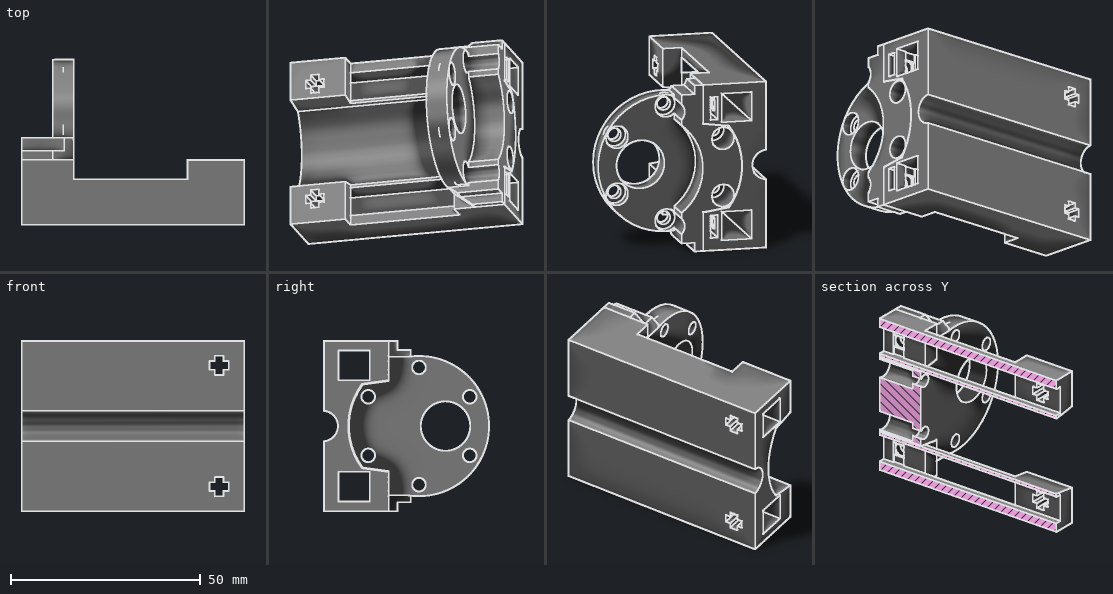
import cadquery as cq
import math

LENGTH = 58.8
HEIGHT = 45.0
BLOCK_DEPTH = 17.1
SADDLE_DEPTH = 12.05
NEAR_PILLAR = 13.8
FAR_PILLAR = 15.05
FIT_GAP = 0.1

GROOVE_RADIUS = 4.0
GROOVE_AXIS_Y = -0.3

CHANNEL_SIZE_Z = 7.75
CHANNEL_FRONT = 3.95
SIDE_Z = 16.0

CROSS_SPAN = 5.0
CROSS_ARM = 2.25
CROSS_INSET = 6.7

CLAMP_X = 4.95
CLAMP_DIAMETER = 3.5
CLAMP_STEP = 0.38

NUT_SLOT_FRONT = 13.1
NUT_SLOT_SIZE_Y = 2.0
NUT_SLOT_SIZE_Z = 6.2
NUT_SLOT_LENGTH = CLAMP_X + NUT_SLOT_SIZE_Z / 2

FLANGE_RADIUS = 18.5
OUTER_DEPTH = 43.65
FLANGE_Y = OUTER_DEPTH - FLANGE_RADIUS
FLANGE_FACE_X = 8.2

LUG_STEP_Y = 19.45
LUG_BACK_Y = 23.0
LUG_HALF_HEIGHT = 20.1
LUG_TOE_HALF = 18.2

TAPER_MOUTH_HALF = 11.95
TAPER_ROOT_Y = 10.35
TAPER_ROOT_HALF = 11.0

BOSS_DIAMETER = 13.0
BOSS_Y = FLANGE_Y + 7.0
BOSS_RELIEF_RADIUS = 14.95

SCREW_COUNT = 6
SCREW_CIRCLE_RADIUS = 15.45
SCREW_DIAMETER = 3.5
HEAD_DIAMETER = 6.0
HEAD_SEAT_X = 11.0


def box(x0, x1, y0, y1, z0, z1):
    """Box between two corners."""
    return cq.Workplane("XY").box(x1 - x0, y1 - y0, z1 - z0, centered=False).translate((x0, y0, z0))


def rod(x0, x1, y, z, radius):
    """Cylinder along X."""
    return cq.Workplane("YZ", origin=(x0, y, z)).circle(radius).extrude(x1 - x0)


def tongue(length, gap):
    """Tapered tongue with a round tip, grown by a gap, that fits into the block."""
    taper = cq.Workplane("YZ").polyline([
        (BLOCK_DEPTH, TAPER_MOUTH_HALF + gap),
        (TAPER_ROOT_Y, TAPER_ROOT_HALF + gap),
        (0, TAPER_ROOT_HALF + gap),
        (0, -TAPER_ROOT_HALF - gap),
        (TAPER_ROOT_Y, -TAPER_ROOT_HALF - gap),
        (BLOCK_DEPTH, -TAPER_MOUTH_HALF - gap),
    ]).close().extrude(length)
    return taper.intersect(rod(0, length, FLANGE_Y, 0, FLANGE_RADIUS + gap))


def cross_hole(x, z):
    """Plus-shaped hole along Y, right through the block."""
    half_span = CROSS_SPAN / 2
    half_arm = CROSS_ARM / 2
    along = box(x - half_span, x + half_span, 0, BLOCK_DEPTH, z - half_arm, z + half_arm)
    upright = box(x - half_arm, x + half_arm, 0, BLOCK_DEPTH, z - half_span, z + half_span)
    return along.union(upright)


def channel(z):
    """Square channel along the whole block, open to the saddle."""
    half = CHANNEL_SIZE_Z / 2
    return box(0, LENGTH, CHANNEL_FRONT, SADDLE_DEPTH, z - half, z + half)


def clamp_hole(z):
    """Round hole along Y from a channel to the block's back, entered through two shallow steps."""
    radius = CLAMP_DIAMETER / 2
    half_channel = CHANNEL_SIZE_Z / 2
    wide_end = SADDLE_DEPTH + CLAMP_STEP
    square_end = wide_end + CLAMP_STEP
    x0 = CLAMP_X - radius
    x1 = CLAMP_X + radius
    wide_step = box(x0, x1, SADDLE_DEPTH, wide_end, z - half_channel, z + half_channel)
    square_step = box(x0, x1, wide_end, square_end, z - radius, z + radius)
    bore = cq.Workplane("XZ", origin=(CLAMP_X, square_end, z)).circle(radius).extrude(square_end - BLOCK_DEPTH)
    return wide_step.union(square_step).union(bore)


def nut_slot(z):
    """Blind slot for a clamp nut, open at the block's near end."""
    half = NUT_SLOT_SIZE_Z / 2
    back = NUT_SLOT_FRONT + NUT_SLOT_SIZE_Y
    return box(0, NUT_SLOT_LENGTH, NUT_SLOT_FRONT, back, z - half, z + half)


def make_block():
    """U-shaped carrier with its front groove, mount pocket, channels and fixing holes."""
    half = HEIGHT / 2
    block = box(0, LENGTH, 0, BLOCK_DEPTH, -half, half)
    block = block.cut(box(NEAR_PILLAR, LENGTH - FAR_PILLAR, SADDLE_DEPTH, BLOCK_DEPTH, -half, half))
    block = block.cut(rod(0, LENGTH, GROOVE_AXIS_Y, 0, GROOVE_RADIUS))
    block = block.cut(tongue(LENGTH, FIT_GAP))
    for z in (-SIDE_Z, SIDE_Z):
        block = block.cut(channel(z))
        block = block.cut(clamp_hole(z))
        block = block.cut(nut_slot(z))
        block = block.cut(cross_hole(LENGTH - CROSS_INSET, z))
    return block


def lugs():
    """Stepped lugs behind the pillar, with ends that slope down towards the flange's inner side."""
    half = HEIGHT / 2
    steps = box(0, NEAR_PILLAR, BLOCK_DEPTH, LUG_STEP_Y, -half, half)
    steps = steps.union(box(0, NEAR_PILLAR, LUG_STEP_Y, LUG_BACK_Y, -LUG_HALF_HEIGHT, LUG_HALF_HEIGHT))
    side_shape = cq.Workplane("XZ").polyline([
        (0, half),
        (FLANGE_FACE_X, half),
        (NEAR_PILLAR, LUG_TOE_HALF),
        (NEAR_PILLAR, -LUG_TOE_HALF),
        (FLANGE_FACE_X, -half),
        (0, -half),
    ]).close().extrude(-OUTER_DEPTH)
    return steps.intersect(side_shape)


def make_mount():
    """Motor mount: lugs, tongue and eccentric flange, with its boss hole and screw holes."""
    mount = lugs().union(tongue(NEAR_PILLAR, 0))
    mount = mount.cut(rod(0, FLANGE_FACE_X, BOSS_Y, 0, BOSS_RELIEF_RADIUS))
    behind_seat = box(FLANGE_FACE_X, NEAR_PILLAR, BLOCK_DEPTH, OUTER_DEPTH, -HEIGHT / 2, HEIGHT / 2)
    flange = rod(FLANGE_FACE_X, NEAR_PILLAR, FLANGE_Y, 0, FLANGE_RADIUS).intersect(behind_seat)
    mount = mount.union(flange)
    mount = mount.cut(rod(0, NEAR_PILLAR, BOSS_Y, 0, BOSS_DIAMETER / 2))
    for i in range(SCREW_COUNT):
        angle = math.radians(90 + i * 360 / SCREW_COUNT)
        y = FLANGE_Y + SCREW_CIRCLE_RADIUS * math.cos(angle)
        z = SCREW_CIRCLE_RADIUS * math.sin(angle)
        mount = mount.cut(rod(0, NEAR_PILLAR, y, z, SCREW_DIAMETER / 2))
        mount = mount.cut(rod(0, HEAD_SEAT_X, y, z, HEAD_DIAMETER / 2))
    return mount


block = make_block()
mount = make_mount()
result = cq.Compound.makeCompound([block.val(), mount.val()])